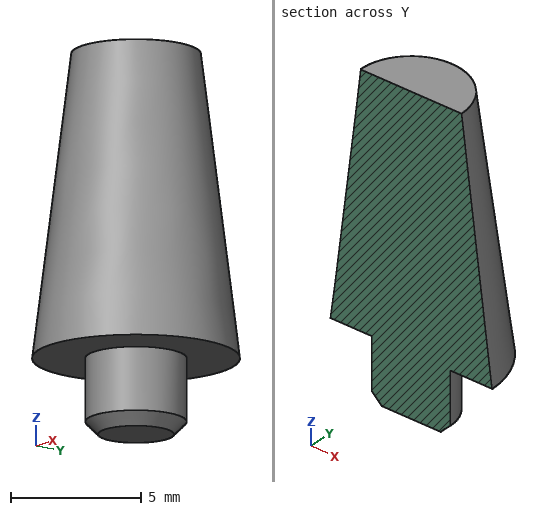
import cadquery as cq

total_height = 15.0
pin_height = 3.0
cone_height = total_height - pin_height

cone_base_diameter = 8.0
cone_top_diameter = 5.0
pin_diameter = 3.9
pin_chamfer = 0.5


def make_pin():
    """Cylindrical locating pin with a chamfered lower end, standing on Z = 0."""
    pin = cq.Workplane("XY").circle(pin_diameter / 2).extrude(pin_height)
    return pin.faces("<Z").chamfer(pin_chamfer)


def make_cone():
    """Tapered body that sits on the pin and narrows towards the top."""
    cone = cq.Solid.makeCone(
        cone_base_diameter / 2,
        cone_top_diameter / 2,
        cone_height,
        pnt=cq.Vector(0, 0, pin_height),
    )
    return cq.Workplane(obj=cone)


result = make_pin().union(make_cone())